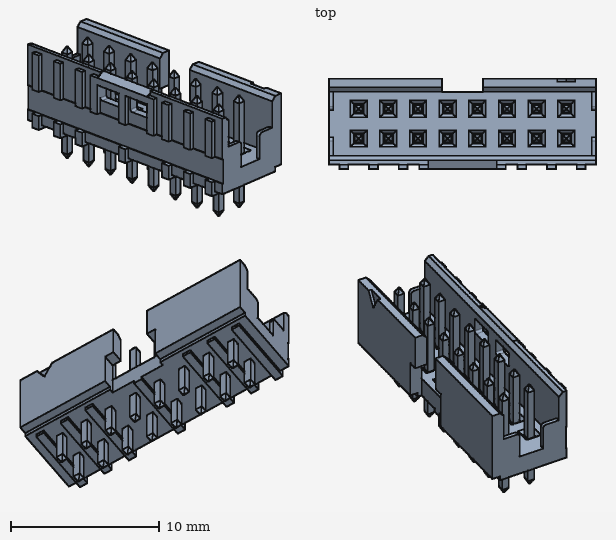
import cadquery as cq

LENGTH = 18.0
PITCH = LENGTH / 9
PINS_PER_ROW = 8

BACK_Y = 3.05
RIB_Y = -3.06
FRONT_Y = -2.75
BAND_Y = -2.7
INNER_Y = 2.15
CHAMFER_Y = 2.45

RIB_TOP_Z = -0.32
LEAD_IN_Z = -0.3
END_WALL_Z = -2.25
BAND_TOP_Z = -3.02
FLOOR_Z = -4.15
BAND_BOTTOM_Z = -4.8
BACK_BOTTOM_Z = -5.25
BODY_BOTTOM_Z = -5.58
RIB_BOTTOM_Z = -5.83
PIN_TOP_Z = -0.1
PIN_BOTTOM_Z = -8.35

END_WALL_THICKNESS = 0.29
END_SLOT_WIDTH = 1.82
END_SLOT_RADIUS = 0.25

KEY_WIDTH = 2.74
KEY_LOWER_WIDTH = 4.1
KEY_STEP_Z = -2.55
MARK_X = 3.5 * PITCH
MARK_LENGTH = 1.22
MARK_DEPTH = 0.22
MARK_HEIGHT = 1.06

RIB_WIDTH = 0.61
FRAME_INNER_WIDTH = 4.6
WINDOW_TOP_Z = -0.86
WINDOW_BOTTOM_Z = -2.05
WINDOW_GAP = 0.99
WINDOW_RADIUS = 0.16

PIN_WIDTH = 0.5
PIN_TIP_WIDTH = 0.05
PIN_TIP_LENGTH = 0.43
FUNNEL_TOP_WIDTH = 1.13
FUNNEL_BOTTOM_WIDTH = 0.68
FUNNEL_DEPTH = 0.25


def box(x_range, y_range, z_range):
    """Axis-aligned block between the given pairs of limits."""
    (x0, x1), (y0, y1), (z0, z1) = x_range, y_range, z_range
    return cq.Workplane("XY").box(x1 - x0, y1 - y0, z1 - z0, centered=False).translate((x0, y0, z0))


def centered_range(center, width):
    """Lower and upper limits of a stretch of the given width."""
    return (center - width / 2, center + width / 2)


def extrude_profile(points, width):
    """Extrude a closed (Y, Z) outline along X, centred on X = 0."""
    return cq.Workplane("YZ").polyline(points).close().extrude(width / 2, both=True)


def square_frustum(lower_width, upper_width, lower_z, upper_z):
    """Square block about the Z axis, tapering between two widths."""
    return (
        cq.Workplane("XY", origin=(0, 0, lower_z))
        .rect(lower_width, lower_width)
        .workplane(offset=upper_z - lower_z)
        .rect(upper_width, upper_width)
        .loft(ruled=True)
    )


def make_housing():
    """Trough with two long walls, a floor and low slotted end walls."""
    outline = [
        (BACK_Y, 0),
        (CHAMFER_Y, 0),
        (INNER_Y, LEAD_IN_Z),
        (INNER_Y, FLOOR_Z),
        (-INNER_Y, FLOOR_Z),
        (-INNER_Y, LEAD_IN_Z),
        (-CHAMFER_Y, 0),
        (FRONT_Y, 0),
        (FRONT_Y, BAND_TOP_Z),
        (BAND_Y, BAND_TOP_Z),
        (BAND_Y, BAND_BOTTOM_Z),
        (FRONT_Y, BAND_BOTTOM_Z),
        (FRONT_Y, BODY_BOTTOM_Z),
        (CHAMFER_Y, BODY_BOTTOM_Z),
        (CHAMFER_Y, BACK_BOTTOM_Z),
        (BACK_Y, BACK_BOTTOM_Z),
    ]
    housing = extrude_profile(outline, LENGTH)

    cheek = box(
        (LENGTH / 2 - END_WALL_THICKNESS, LENGTH / 2), (END_SLOT_WIDTH / 2, INNER_Y), (FLOOR_Z, END_WALL_Z)
    )
    cheek = cheek.edges("|X").edges("<Y and >Z").fillet(END_SLOT_RADIUS)
    end_wall = cheek.union(cheek.mirror("XZ"))
    return housing.union(end_wall).union(end_wall.mirror("YZ"))


def cut_back_wall(housing):
    """Polarising gap, wider in its lower part, and the V-shaped pin-one mark."""
    gap = box(centered_range(0, KEY_WIDTH), (INNER_Y, BACK_Y), (BODY_BOTTOM_Z, 0))
    lower_gap = box(centered_range(0, KEY_LOWER_WIDTH), (INNER_Y, BACK_Y), (BODY_BOTTOM_Z, KEY_STEP_Z))
    mark = (
        cq.Workplane("XZ", origin=(0, BACK_Y, 0))
        .polyline([(MARK_X - MARK_LENGTH / 2, 0), (MARK_X + MARK_LENGTH / 2, 0), (MARK_X, -MARK_HEIGHT)])
        .close()
        .extrude(MARK_DEPTH)
    )
    return housing.cut(gap).cut(lower_gap).cut(mark)


def add_ribs(housing):
    """Upright ribs on the front wall and L-shaped standoff ribs below it."""
    half = PINS_PER_ROW // 2
    for index in range(-half, half + 1):
        x_range = centered_range(index * PITCH, RIB_WIDTH)
        if abs(index) > 1:
            housing = housing.union(box(x_range, (RIB_Y, FRONT_Y), (BAND_TOP_Z, RIB_TOP_Z)))
        if abs(index) != 1:
            housing = housing.union(box(x_range, (RIB_Y, FRONT_Y), (RIB_BOTTOM_Z, BAND_BOTTOM_Z)))
            housing = housing.union(box(x_range, (RIB_Y, INNER_Y), (RIB_BOTTOM_Z, BODY_BOTTOM_Z)))
    return housing


def add_latch_frame(housing):
    """Raised frame with two windows, topped by a slope running up to the wall chamfer."""
    outer_half = FRAME_INNER_WIDTH / 2 + RIB_WIDTH
    leg_offset = (FRAME_INNER_WIDTH + RIB_WIDTH) / 2
    for leg_x in (-leg_offset, 0, leg_offset):
        leg = box(centered_range(leg_x, RIB_WIDTH), (RIB_Y, FRONT_Y), (BAND_TOP_Z, RIB_TOP_Z))
        housing = housing.union(leg)
    lintel = box((-outer_half, outer_half), (RIB_Y, FRONT_Y), (WINDOW_TOP_Z, RIB_TOP_Z))
    housing = housing.union(lintel)

    slope_fill = extrude_profile(
        [(RIB_Y, RIB_TOP_Z), (-CHAMFER_Y, 0), (-CHAMFER_Y, RIB_TOP_Z)], FRAME_INNER_WIDTH
    )
    slope_cut = extrude_profile([(RIB_Y, RIB_TOP_Z), (-CHAMFER_Y, 0), (RIB_Y, 0)], FRAME_INNER_WIDTH)
    housing = housing.union(slope_fill).cut(slope_cut)

    window_width = (FRAME_INNER_WIDTH - WINDOW_GAP) / 2
    for side in (-1, 1):
        window_x = side * (WINDOW_GAP + window_width) / 2
        window = box(
            centered_range(window_x, window_width), (FRONT_Y, -INNER_Y), (WINDOW_BOTTOM_Z, WINDOW_TOP_Z)
        ).edges("|Y").fillet(WINDOW_RADIUS)
        housing = housing.cut(window)
    return housing


def add_contacts(housing):
    """Two rows of pointed square pins, each rising out of a funnel in the floor."""
    lower_shoulder = PIN_BOTTOM_Z + PIN_TIP_LENGTH
    upper_shoulder = PIN_TOP_Z - PIN_TIP_LENGTH
    pin = (
        square_frustum(PIN_TIP_WIDTH, PIN_WIDTH, PIN_BOTTOM_Z, lower_shoulder)
        .union(square_frustum(PIN_WIDTH, PIN_WIDTH, lower_shoulder, upper_shoulder))
        .union(square_frustum(PIN_WIDTH, PIN_TIP_WIDTH, upper_shoulder, PIN_TOP_Z))
    )
    funnel = square_frustum(FUNNEL_BOTTOM_WIDTH, FUNNEL_TOP_WIDTH, FLOOR_Z - FUNNEL_DEPTH, FLOOR_Z)

    for column in range(PINS_PER_ROW):
        x = (column - (PINS_PER_ROW - 1) / 2) * PITCH
        for y in (-PITCH / 2, PITCH / 2):
            housing = housing.cut(funnel.translate((x, y, 0))).union(pin.translate((x, y, 0)))
    return housing


housing = make_housing()
housing = cut_back_wall(housing)
housing = add_ribs(housing)
housing = add_latch_frame(housing)
result = add_contacts(housing)